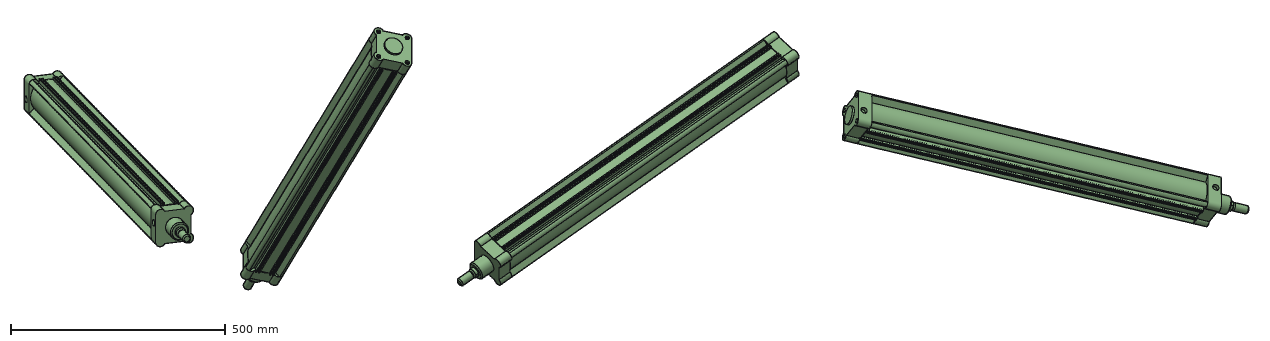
import cadquery as cq
import math

TOTAL_LENGTH = 1018.0
BOSS_HEIGHT = 5.0
CAP_LENGTH = 35.0
FRONT_FACE_X = 930.0
COLLAR_LENGTH = 38.0
REAR_CAP_END_X = BOSS_HEIGHT + CAP_LENGTH
FRONT_CAP_START_X = FRONT_FACE_X - CAP_LENGTH
TUBE_LENGTH = FRONT_CAP_START_X - REAR_CAP_END_X
COLLAR_END_X = FRONT_FACE_X + COLLAR_LENGTH

SECTION_SIZE = 94.0
HALF_SECTION = SECTION_SIZE / 2
LOBE_RADIUS = 12.0
LOBE_CENTER = HALF_SECTION - LOBE_RADIUS
QUADRANTS = [(y, z) for y in (-1, 1) for z in (-1, 1)]
LOBE_CENTERS = [(y * LOBE_CENTER, z * LOBE_CENTER) for y, z in QUADRANTS]

CAP_FACE = 41.0
BOSS_DIAMETER = 45.0
SCREW_OFFSET = 36.0
SCREW_CENTERS = [(y * SCREW_OFFSET, z * SCREW_OFFSET) for y, z in QUADRANTS]
SCREW_RECESS_DIAMETER = 10.0
SCREW_RECESS_DEPTH = 5.0
SCREW_HOLE_DIAMETER = 5.0
SCREW_HOLE_DEPTH = 10.0
PORT_DIAMETER = 15.0
PORT_DEPTH = 10.0
PORT_HEIGHT = 9.0
PORT_INSET = 14.0

COLLAR_DIAMETER = 45.0
COLLAR_CHAMFER = 3.0

BARREL_RADIUS = 43.0
POST_WIDTH = 12.0
RIB_INNER_EDGE = 12.0
RIB_OUTER_EDGE = 22.0
SLOT_INNER_EDGE = 15.0
SLOT_OUTER_EDGE = 19.0
SLOT_DEPTH = 5.0

ROD_DIAMETER = 24.0
FLAT_WIDTH = 22.0
NECK_LENGTH = 8.0
SHOULDER_CHAMFER = 3.0
THREAD_DIAMETER = 20.0
THREAD_CHAMFER = 3.0


def cylinder(x_start, x_end, diameter, center=(0, 0)):
    """Cylinder along X with its centre at the given (y, z)."""
    plane = cq.Workplane("YZ", origin=(x_start, *center))
    return plane.circle(diameter / 2).extrude(x_end - x_start)


def block(x_range, y_range, z_range):
    """Box between the given limits."""
    sizes = [end - start for start, end in (x_range, y_range, z_range)]
    corner = (x_range[0], y_range[0], z_range[0])
    return cq.Workplane("XY").box(*sizes, centered=False).translate(corner)


def cap_block(x_start):
    """Plain end cap: recessed square with four corner lobes and a flush -Y face."""
    x_end = x_start + CAP_LENGTH
    cap = block((x_start, x_end), (-CAP_FACE, CAP_FACE), (-CAP_FACE, CAP_FACE))
    for center in LOBE_CENTERS:
        cap = cap.union(cylinder(x_start, x_end, 2 * LOBE_RADIUS, center))
    flush_face = block((x_start, x_end), (-HALF_SECTION, 0), (-LOBE_CENTER, LOBE_CENTER))
    return cap.union(flush_face)


def port(x, z):
    """Blind port drilled into the -Y face."""
    plane = cq.Workplane("XZ", origin=(x, -HALF_SECTION, z))
    return plane.circle(PORT_DIAMETER / 2).extrude(-PORT_DEPTH)


def screw_hole(center):
    """Stepped blind hole in the rear face: a wide recess with a narrower hole at its floor."""
    recess = cylinder(BOSS_HEIGHT, BOSS_HEIGHT + SCREW_RECESS_DEPTH, SCREW_RECESS_DIAMETER, center)
    hole = cylinder(BOSS_HEIGHT, BOSS_HEIGHT + SCREW_HOLE_DEPTH, SCREW_HOLE_DIAMETER, center)
    return recess.union(hole)


def make_rear_cap():
    cap = cap_block(BOSS_HEIGHT)
    cap = cap.union(cylinder(0, REAR_CAP_END_X, BOSS_DIAMETER))
    for center in SCREW_CENTERS:
        cap = cap.cut(screw_hole(center))
    return cap.cut(port(BOSS_HEIGHT + PORT_INSET, -PORT_HEIGHT))


def make_front_cap():
    cap = cap_block(FRONT_CAP_START_X)
    collar = cylinder(FRONT_CAP_START_X, COLLAR_END_X, COLLAR_DIAMETER)
    cap = cap.union(collar.faces(">X").chamfer(COLLAR_CHAMFER))
    cap = cap.cut(port(FRONT_FACE_X - PORT_INSET, PORT_HEIGHT))
    return cap.cut(cylinder(FRONT_CAP_START_X, COLLAR_END_X, ROD_DIAMETER))


def slotted_rib(y_side, z_side):
    """Rib standing on the barrel with a slot along its outer face."""
    x_range = (REAR_CAP_END_X, FRONT_CAP_START_X)
    slot_floor = HALF_SECTION - SLOT_DEPTH
    rib = block(x_range, (RIB_INNER_EDGE, RIB_OUTER_EDGE), (0, HALF_SECTION))
    slot = block(x_range, (SLOT_INNER_EDGE, SLOT_OUTER_EDGE), (slot_floor, HALF_SECTION))
    rib = rib.cut(slot)
    if y_side < 0:
        rib = rib.mirror("XZ")
    if z_side < 0:
        rib = rib.mirror("XY")
    return rib


def lobe_post(center):
    """Diagonal post from the barrel to a corner, with parallel flanks and a round outer end."""
    y, z = center
    reach = math.hypot(y, z)
    outer_end = reach + math.sqrt(LOBE_RADIUS**2 - (POST_WIDTH / 2) ** 2)
    post = (
        cq.Workplane("YZ", origin=(REAR_CAP_END_X, 0, 0))
        .moveTo(0, -POST_WIDTH / 2)
        .lineTo(outer_end, -POST_WIDTH / 2)
        .threePointArc((reach + LOBE_RADIUS, 0), (outer_end, POST_WIDTH / 2))
        .lineTo(0, POST_WIDTH / 2)
        .close()
        .extrude(TUBE_LENGTH)
    )
    return post.rotate((0, 0, 0), (1, 0, 0), math.degrees(math.atan2(z, y)))


def make_tube():
    tube = cylinder(REAR_CAP_END_X, FRONT_CAP_START_X, 2 * BARREL_RADIUS)
    for center in LOBE_CENTERS:
        tube = tube.union(lobe_post(center))
    for y_side, z_side in QUADRANTS:
        tube = tube.union(slotted_rib(y_side, z_side))
    return tube


def make_rod():
    neck_end = COLLAR_END_X + NECK_LENGTH
    thread_start = neck_end + SHOULDER_CHAMFER
    radius = ROD_DIAMETER / 2
    thread_radius = THREAD_DIAMETER / 2
    profile = (
        cq.Workplane("XY")
        .moveTo(FRONT_CAP_START_X, 0)
        .lineTo(FRONT_CAP_START_X, radius)
        .lineTo(neck_end, radius)
        .lineTo(thread_start, thread_radius - THREAD_CHAMFER)
        .lineTo(thread_start + THREAD_CHAMFER, thread_radius)
        .lineTo(TOTAL_LENGTH - THREAD_CHAMFER, thread_radius)
        .lineTo(TOTAL_LENGTH, thread_radius - THREAD_CHAMFER)
        .lineTo(TOTAL_LENGTH, 0)
        .close()
    )
    rod = profile.revolve(360, (0, 0, 0), (1, 0, 0))
    for side in (-1, 1):
        y_range = sorted((side * FLAT_WIDTH / 2, side * ROD_DIAMETER))
        rod = rod.cut(block((COLLAR_END_X, thread_start), y_range, (-ROD_DIAMETER, ROD_DIAMETER)))
    return rod


rear_cap = make_rear_cap()
tube = make_tube()
front_cap = make_front_cap()
rod = make_rod()

result = cq.Compound.makeCompound([rear_cap.val(), tube.val(), front_cap.val(), rod.val()])